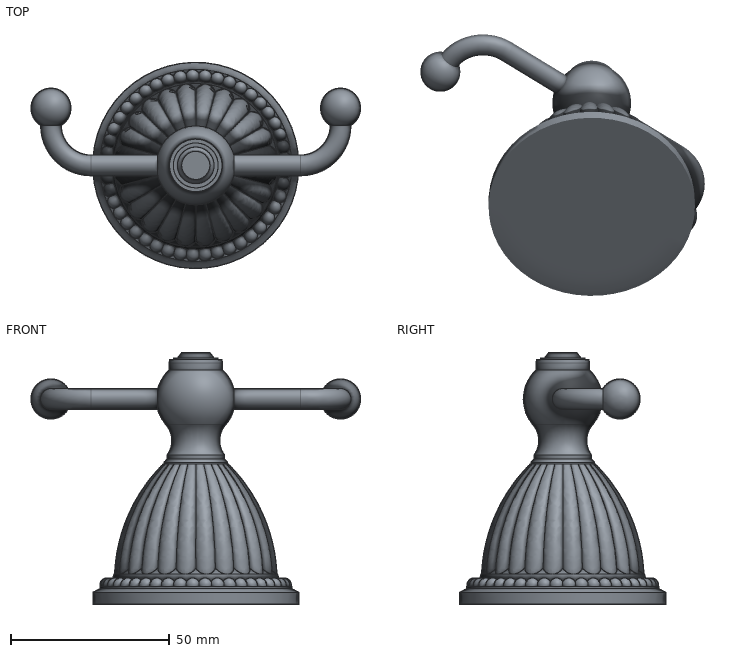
import cadquery as cq
import math

BASE_RADIUS = 32.64
BASE_HEIGHT = 4.95
BASE_EDGE_HEIGHT = 3.75

SEAT_RADIUS = 30.4
SEAT_TOP = 5.65
BEAD_COUNT = 45
FIRST_BEAD_ANGLE = 180
BEAD_RADIUS = 2.25
BEAD_RING_RADIUS = 28.1
BEAD_CENTER_Z = 6.05

FOOT_BOTTOM_RADIUS = 27.0
FOOT_SHOULDER_RADIUS = 25.9
FOOT_SHOULDER_Z = 9.55
FOOT_TOP_RADIUS = 24.0
FOOT_TOP_Z = 11.5

LOBE_COUNT = 24
LOBE_PITCH = 2 * math.pi / LOBE_COUNT
VALLEY_TO_CREST = 0.933
CREST_ARC_X = -26.2
CREST_ARC_Z = 7.2
CREST_ARC_RADIUS = 52.16
DOME_BOTTOM = SEAT_TOP
DOME_TOP = 44.35
DOME_CORE_RADIUS = 5.0
DOME_SECTIONS = 6

COLLAR_BOTTOM_RADIUS = 10.1
COLLAR_EDGE_Z = 44.85
COLLAR_TOP_Z = 46.0
NECK_BAND_TOP = 47.25
NECK_BAND_RADIUS = 9.1
NECK_WAIST_RADIUS = 7.6
NECK_WAIST_Z = 52.0
NECK_TOP_Z = 56.95

HUB_RADIUS = 12.5
HUB_CENTER_Z = 64.95
CAP_RADIUS = 8.45
CAP_EDGE_Z = 76.35
CAP_RIM_RADIUS = 8.3
CAP_RIM_Z = 77.4
CAP_TOP_RADIUS = 7.1
CAP_TOP = 77.95
BUTTON_BOTTOM_RADIUS = 5.8
BUTTON_EDGE_RADIUS = 4.75
BUTTON_EDGE_Z = 79.25
BUTTON_TOP_RADIUS = 4.45
TOTAL_HEIGHT = 79.63

ARM_RADIUS = 3.3
BEND_RADIUS = 12.7
KNOB_RADIUS = 6.35
TOTAL_LENGTH = 104.33
KNOB_X = TOTAL_LENGTH / 2 - KNOB_RADIUS
KNOB_Y = BEND_RADIUS + math.sqrt(KNOB_RADIUS**2 - ARM_RADIUS**2)


def hub_radius_at(z):
    return math.sqrt(HUB_RADIUS**2 - (z - HUB_CENTER_Z) ** 2)


def crest_radius_at(z):
    return CREST_ARC_X + math.sqrt(CREST_ARC_RADIUS**2 - (z - CREST_ARC_Z) ** 2)


def make_turned_body():
    """Revolve everything that is round about the Z axis, with a core inside the dome."""
    cap_bottom = HUB_CENTER_Z + math.sqrt(HUB_RADIUS**2 - CAP_RADIUS**2)
    profile = (
        cq.Workplane("XZ")
        .lineTo(BASE_RADIUS, 0)
        .lineTo(BASE_RADIUS, BASE_EDGE_HEIGHT)
        .lineTo(SEAT_RADIUS, BASE_HEIGHT)
        .lineTo(SEAT_RADIUS, SEAT_TOP)
        .lineTo(FOOT_BOTTOM_RADIUS, SEAT_TOP)
        .lineTo(FOOT_SHOULDER_RADIUS, FOOT_SHOULDER_Z)
        .lineTo(FOOT_TOP_RADIUS, FOOT_TOP_Z)
        .lineTo(DOME_CORE_RADIUS, FOOT_TOP_Z)
        .lineTo(DOME_CORE_RADIUS, DOME_TOP)
        .lineTo(COLLAR_BOTTOM_RADIUS, DOME_TOP)
        .lineTo(COLLAR_BOTTOM_RADIUS, COLLAR_EDGE_Z)
        .lineTo(NECK_BAND_RADIUS, COLLAR_TOP_Z)
        .lineTo(NECK_BAND_RADIUS, NECK_BAND_TOP)
        .threePointArc((NECK_WAIST_RADIUS, NECK_WAIST_Z), (hub_radius_at(NECK_TOP_Z), NECK_TOP_Z))
        .threePointArc((HUB_RADIUS, HUB_CENTER_Z), (CAP_RADIUS, cap_bottom))
        .lineTo(CAP_RADIUS, CAP_EDGE_Z)
        .lineTo(CAP_RIM_RADIUS, CAP_RIM_Z)
        .lineTo(CAP_TOP_RADIUS, CAP_RIM_Z)
        .lineTo(CAP_TOP_RADIUS, CAP_TOP)
        .lineTo(BUTTON_BOTTOM_RADIUS, CAP_TOP)
        .lineTo(BUTTON_EDGE_RADIUS, BUTTON_EDGE_Z)
        .lineTo(BUTTON_TOP_RADIUS, TOTAL_HEIGHT)
        .lineTo(0, TOTAL_HEIGHT)
        .close()
    )
    return profile.revolve(360, (0, 0, 0), (0, 1, 0))


def lobed_wire(z):
    """Closed ring of convex arcs; valleys lie on the X and Y axes."""
    crest = crest_radius_at(z)
    valley = crest * VALLEY_TO_CREST

    def point(radius, angle):
        return cq.Vector(radius * math.cos(angle), radius * math.sin(angle), z)

    arcs = []
    for i in range(LOBE_COUNT):
        start = i * LOBE_PITCH
        middle = start + LOBE_PITCH / 2
        end = (i + 1) % LOBE_COUNT * LOBE_PITCH
        arcs.append(
            cq.Edge.makeThreePointArc(point(valley, start), point(crest, middle), point(valley, end))
        )
    return cq.Wire.assembleEdges(arcs)


def make_dome():
    """Loft the lobed rings, spaced evenly in height, into one smooth dome."""
    step = (DOME_TOP - DOME_BOTTOM) / (DOME_SECTIONS - 1)
    wires = [lobed_wire(DOME_BOTTOM + i * step) for i in range(DOME_SECTIONS)]
    return cq.Workplane(cq.Solid.makeLoft(wires))


def make_beads():
    """Ring of overlapping spheres, half sunk into the seat."""
    return (
        cq.Workplane("XY", origin=(0, 0, BEAD_CENTER_Z))
        .polarArray(BEAD_RING_RADIUS, FIRST_BEAD_ANGLE, 360, BEAD_COUNT)
        .sphere(BEAD_RADIUS)
    )


def make_arm():
    """Arm on the +X side, running from the hub centre to its knob."""
    bend_start = KNOB_X - BEND_RADIUS
    diagonal = BEND_RADIUS * math.sqrt(0.5)
    path = (
        cq.Workplane("XY", origin=(0, 0, HUB_CENTER_Z))
        .lineTo(bend_start, 0)
        .threePointArc((bend_start + diagonal, BEND_RADIUS - diagonal), (KNOB_X, BEND_RADIUS))
        .lineTo(KNOB_X, KNOB_Y)
    )
    rod = cq.Workplane("YZ", origin=(0, 0, HUB_CENTER_Z)).circle(ARM_RADIUS).sweep(path)
    knob = cq.Workplane("XY", origin=(KNOB_X, KNOB_Y, HUB_CENTER_Z)).sphere(KNOB_RADIUS)
    return rod.union(knob)


arm = make_arm()
result = (
    make_turned_body()
    .union(make_dome())
    .union(make_beads())
    .union(arm)
    .union(arm.mirror("YZ"))
)